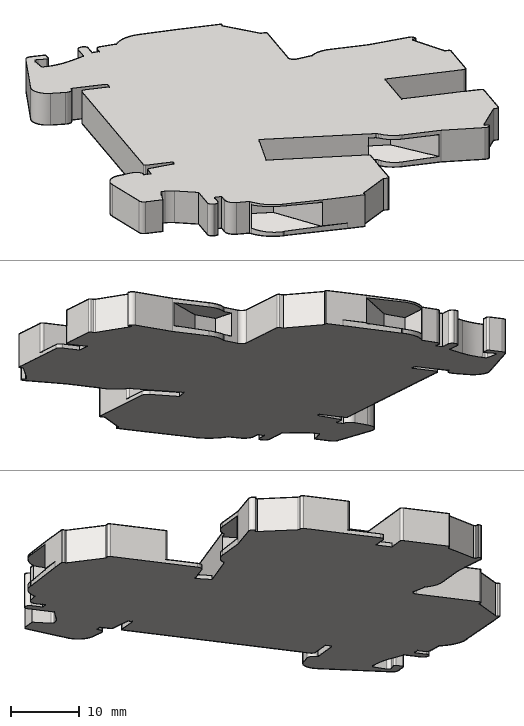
import cadquery as cq
import math


THICKNESS = 5.0
HALF_WIDTH = 34.5
LOWER_TOP = 32.6
UPPER_TOP = 56.0
UPPER_CENTRE_X = -3.1
TILT = math.radians(10)
TOP_EDGE_RADIUS = 0.3

SHOULDER_TOP_X = 29.4
LIP_STEP = 0.95
WALL_TOP = 27.26
NIB_WIDTH = 0.4
NIB_GAP = 0.25
WALL_BEND_Y = 20.7
WALL_FOOT_X = 34.28
BELLY_CORNER_Y = 12.15
BELLY_RADIUS = 5.2
WALL_FOOT_Y = 14.9
NECK_X = 31.85
NECK_TOP = 10.4

UPPER_EDGE = 11.72
UPPER_LIP_STEP = 0.85
UPPER_SLOPE_END = (17.0, 52.0)
UPPER_NIB_FOOT_X = 17.4
UPPER_NIB_INNER_X = 17.5
UPPER_NIB_X = 18.4
UPPER_NIB_RADIUS = 0.75
UPPER_NIB_TOP = 52.6
UPPER_WALL_X = 17.32
UPPER_BEND_Y = 45.3
UPPER_BELLY_CORNER_Y = 37.66
UPPER_BELLY_RADIUS = 4.0
UPPER_BELLY_END = (15.85, 36.2)

LEFT_INNER_CORNER = (-18.1, LOWER_TOP)
LEFT_INNER_RADIUS = 0.85
FLANK_TOP = 35.9

LATCH_TOP = 7.12
LATCH_BOTTOM = 6.0
TAB_BOTTOM = 4.4
RIGHT_LATCH_END = 28.8
LEFT_LATCH_END = -29.8
RIGHT_TAB_X = 31.25
LEFT_TAB_X = -32.3
BASE_RIGHT = 13.97
BASE_LEFT = -16.4

HEEL_X = 17.0
HEEL_BOTTOM = -7.29
HEEL_RADIUS = 2.5
HEEL_TOP = -1.1
HEEL_TOP_RADIUS = 1.1
RIGHT_ANKLE_X = 17.3
LEFT_ANKLE_X = -17.5
RIGHT_LEG_X = 24.35
RIGHT_TOE_X = 27.4
LEFT_TOE_X = -30.95
HOOK_TOP = -0.73

SLOT_WIDTH = 8.0
SLOT_FLOOR_Z = 0.6
SLOT_LIP_RADIUS = 0.4
UPPER_NOTCH_RADIUS = 0.7
SIDE_NOTCH_RADIUS = 1.0
NOTCH_WIDTH = 2.5
NOTCH_ABOVE_SLOT_END = 9.0
UPPER_SLOT_CORNER = (-7.05, 43.5)
SIDE_SLOT_CORNER = (9.55, 18.95)

ENTRY_HEIGHT = 3.75
ENTRY_FLOOR_MOUTH = 0.87
ENTRY_FLOOR_INNER = 1.52
UPPER_ENTRY = dict(
    start=(-20.4, 45.0),
    end=(-18.9, 34.75),
    depth=4.2,
    ceiling_mouth=4.35,
    ceiling_inner=4.35,
)
LOWER_ENTRY = dict(
    start=(-HALF_WIDTH, WALL_BEND_Y),
    end=(-32.3, 10.6),
    depth=4.2,
    ceiling_mouth=4.57,
    ceiling_inner=4.13,
)
BACK_LIP_BEND_Y = 24.55

CLEARANCE = 3.0


def mirrored(points, axis_x=0.0):
    """Mirror (x, y, radius) corners about a vertical line, reversing their order."""
    return [(2 * axis_x - x, y, radius) for x, y, radius in reversed(points)]


def shifted(points, dx):
    """Move (x, y, radius) corners sideways."""
    return [(x + dx, y, radius) for x, y, radius in points]


def along(start, direction, distance):
    """Point at a distance from start in a unit direction."""
    return (start[0] + direction[0] * distance, start[1] + direction[1] * distance)


def unit(start, end):
    """Unit direction from start to end."""
    length = math.dist(start, end)
    return ((end[0] - start[0]) / length, (end[1] - start[1]) / length)


def rounded_face(corners):
    """Closed sketch through (x, y, radius) corners, each rounded by a tangent arc."""
    sketch = None
    for index, (x, y, radius) in enumerate(corners):
        corner = (x, y)
        to_previous = unit(corner, corners[index - 1][:2])
        to_next = unit(corner, corners[(index + 1) % len(corners)][:2])
        cosine = to_previous[0] * to_next[0] + to_previous[1] * to_next[1]
        half_angle = math.acos(cosine) / 2
        setback = radius / math.tan(half_angle)
        start = along(corner, to_previous, setback)
        sketch = cq.Workplane("XY").moveTo(*start) if sketch is None else sketch.lineTo(*start)
        if radius > 0:
            bisector = unit((0, 0), (to_previous[0] + to_next[0], to_previous[1] + to_next[1]))
            middle = along(corner, bisector, radius / math.sin(half_angle) - radius)
            sketch = sketch.threePointArc(middle, along(corner, to_next, setback))
    return sketch.close()


def lower_shoulder():
    """Right shoulder of the lower deck, from the top edge down to the neck."""
    slope_top = LOWER_TOP - LIP_STEP
    slope_end = HALF_WIDTH - NIB_WIDTH - NIB_GAP
    return [
        (SHOULDER_TOP_X, LOWER_TOP, TOP_EDGE_RADIUS),
        (SHOULDER_TOP_X, slope_top, 0),
        (slope_end, slope_top - (slope_end - SHOULDER_TOP_X), 0),
        (HALF_WIDTH - NIB_WIDTH, WALL_TOP, 0),
        (HALF_WIDTH, WALL_TOP, 0),
        (HALF_WIDTH, WALL_BEND_Y, 0),
        (WALL_FOOT_X, BELLY_CORNER_Y, BELLY_RADIUS),
        (NECK_X, NECK_TOP, 0),
    ]


def upper_shoulder():
    """Right shoulder of the upper deck, as offsets from its centre line."""
    return [
        (UPPER_EDGE, UPPER_TOP, TOP_EDGE_RADIUS),
        (UPPER_EDGE, UPPER_TOP - UPPER_LIP_STEP, TOP_EDGE_RADIUS),
        (*UPPER_SLOPE_END, 0),
        (UPPER_NIB_FOOT_X, UPPER_SLOPE_END[1], 0),
        (UPPER_NIB_INNER_X, UPPER_NIB_TOP, 0),
        (UPPER_NIB_X, UPPER_NIB_TOP, UPPER_NIB_RADIUS),
        (UPPER_WALL_X, UPPER_BEND_Y, 0),
        (UPPER_WALL_X, UPPER_BELLY_CORNER_Y, UPPER_BELLY_RADIUS),
        (*UPPER_BELLY_END, 0),
    ]


def right_foot():
    """Foot on the right, from the latch notch round to the base, as (x, y, radius) corners."""
    return [
        (31.6, LATCH_TOP, 1.5),
        (RIGHT_LATCH_END, LATCH_TOP, 0),
        (RIGHT_LATCH_END, LATCH_BOTTOM, 0),
        (RIGHT_TAB_X, LATCH_BOTTOM, 0.7),
        (RIGHT_TAB_X, TAB_BOTTOM, 0.75),
        (26.3, TAB_BOTTOM, 0),
        (RIGHT_LEG_X, 0.6, 3),
        (RIGHT_LEG_X, -0.8, 0.4),
        (RIGHT_TOE_X, -1.4, 0),
        (RIGHT_TOE_X, -4.7, 0.8),
        (HEEL_X, HEEL_BOTTOM, HEEL_RADIUS),
        (15.9, HEEL_TOP, HEEL_TOP_RADIUS),
        (RIGHT_ANKLE_X, HEEL_TOP, 0),
        (RIGHT_ANKLE_X, 0, 0),
        (15.4, 0, 0.4),
        (14.7, TAB_BOTTOM, 0.25),
        (BASE_RIGHT, TAB_BOTTOM, 0),
        (BASE_RIGHT, 0, 0.25),
    ]


def left_foot():
    """Hooked foot on the left, from the base round to the latch notch, as (x, y, radius) corners."""
    return [
        (BASE_LEFT, 0, 0.6),
        (BASE_LEFT, TAB_BOTTOM, 0),
        (LEFT_ANKLE_X, TAB_BOTTOM, 0.35),
        (LEFT_ANKLE_X, HEEL_TOP, 0),
        (-16.1, HEEL_TOP, HEEL_TOP_RADIUS),
        (-HEEL_X, HEEL_BOTTOM, HEEL_RADIUS),
        (LEFT_TOE_X, -3.8, 0.9),
        (LEFT_TOE_X, HOOK_TOP, 0.3),
        (-29.3, HOOK_TOP, 0.3),
        (-29.7, -3.0, 0.5),
        (-26.65, -2.7, 0.3),
        (-26.7, -0.1, 9),
        (-28.8, TAB_BOTTOM, 0),
        (LEFT_TAB_X, TAB_BOTTOM, 0.9),
        (LEFT_TAB_X, LATCH_BOTTOM, 0.6),
        (LEFT_LATCH_END, LATCH_BOTTOM, 0),
        (LEFT_LATCH_END, LATCH_TOP, 0),
        (-31.5, LATCH_TOP, 0.8),
    ]


def slot_point(corner, tilt, across, upward):
    """Point in a slot's own frame: across its width, upward along its length."""
    return (
        corner[0] + across * math.cos(tilt) + upward * math.sin(tilt),
        corner[1] - across * math.sin(tilt) + upward * math.cos(tilt),
    )


def on_slot_side(corner, tilt, across, height):
    """Point of a slot's side line at a given Y."""
    start = slot_point(corner, tilt, across, 0)
    return (start[0] + (height - start[1]) * math.tan(tilt), height)


def notch(corner, tilt, left_top, deck_top, left_radius, right_radius):
    """Outline corners, right to left, of the fully open notch in the mouth of a slot."""
    right_mouth = on_slot_side(corner, tilt, NOTCH_WIDTH, deck_top)
    return [
        (*right_mouth, right_radius),
        (*slot_point(corner, tilt, NOTCH_WIDTH, NOTCH_ABOVE_SLOT_END), 0),
        (*slot_point(corner, tilt, 0, NOTCH_ABOVE_SLOT_END), 0),
        (*left_top, left_radius),
    ]


def housing():
    """Full-thickness body, its outline taken clockwise from the right end of the upper top edge."""
    upper_right = shifted(upper_shoulder(), UPPER_CENTRE_X)
    upper_left = mirrored(upper_right, UPPER_CENTRE_X)
    upper_slot_left = on_slot_side(UPPER_SLOT_CORNER, 0, 0, UPPER_TOP)
    side_slot_left = on_slot_side(SIDE_SLOT_CORNER, TILT, 0, FLANK_TOP)
    upper_notch = notch(
        UPPER_SLOT_CORNER, 0, upper_slot_left, UPPER_TOP, SLOT_LIP_RADIUS, UPPER_NOTCH_RADIUS
    )
    side_notch = notch(SIDE_SLOT_CORNER, TILT, side_slot_left, LOWER_TOP, 0, SIDE_NOTCH_RADIUS)
    corners = (
        upper_right
        + side_notch[::-1]
        + lower_shoulder()
        + right_foot()
        + left_foot()
        + mirrored(lower_shoulder())
        + [(*LEFT_INNER_CORNER, LEFT_INNER_RADIUS)]
        + upper_left
        + upper_notch[::-1]
    )
    return rounded_face(corners).extrude(THICKNESS)


def slot_pocket(corner, tilt, deck_top):
    """Screwdriver slot, closed by a thin floor and open at the top of its deck."""
    right_mouth = on_slot_side(corner, tilt, SLOT_WIDTH, deck_top)
    above = deck_top + CLEARANCE
    corners = [
        (*corner, 0),
        (*slot_point(corner, tilt, SLOT_WIDTH, 0), 0),
        (*right_mouth, SLOT_LIP_RADIUS),
        (right_mouth[0] + CLEARANCE, deck_top, 0),
        (right_mouth[0] + CLEARANCE, above, 0),
        (*on_slot_side(corner, tilt, 0, above), 0),
    ]
    pocket = rounded_face(corners).extrude(THICKNESS)
    return pocket.translate((0, 0, SLOT_FLOOR_Z))


def wire_entry(start, end, depth, ceiling_mouth, ceiling_inner):
    """Tapered wire funnel in a left wall; start and end are its upper and lower mouth edges."""
    inward = (math.cos(TILT), math.sin(TILT))
    upward = (-math.sin(TILT), math.cos(TILT))
    inner_low = along(end, inward, depth)
    inner_high = along(inner_low, upward, ENTRY_HEIGHT)
    plan = cq.Workplane("XY").polyline([
        start,
        inner_high,
        inner_low,
        along(end, inward, -CLEARANCE),
        (start[0] - CLEARANCE, start[1]),
    ]).close().extrude(THICKNESS)

    reach = 2 * depth
    floor_slope = (ENTRY_FLOOR_INNER - ENTRY_FLOOR_MOUTH) / depth
    ceiling_slope = (ceiling_inner - ceiling_mouth) / depth
    section = cq.Workplane("XZ").polyline([
        (-reach, ENTRY_FLOOR_MOUTH - floor_slope * reach),
        (reach, ENTRY_FLOOR_MOUTH + floor_slope * reach),
        (reach, ceiling_mouth + ceiling_slope * reach),
        (-reach, ceiling_mouth - ceiling_slope * reach),
    ]).close().extrude(HALF_WIDTH, both=True)
    section = section.rotate((0, 0, 0), (0, 0, 1), math.degrees(TILT)).translate((*end, 0))
    return plan.intersect(section)


def back_lip_relief():
    """Sliver off the back lip of the left lower wall, where the lean starts higher up."""
    wall = [
        (-HALF_WIDTH, BACK_LIP_BEND_Y),
        (-WALL_FOOT_X, WALL_FOOT_Y),
        (-HALF_WIDTH - CLEARANCE, WALL_FOOT_Y),
        (-HALF_WIDTH - CLEARANCE, BACK_LIP_BEND_Y),
    ]
    return cq.Workplane("XY").polyline(wall).close().extrude(ENTRY_FLOOR_MOUTH)


def cut_both_sides(body, cutter, axis_x):
    """Cut a left-hand feature and its mirror image about a vertical line."""
    return body.cut(cutter).cut(cutter.mirror("YZ", (axis_x, 0, 0)))


result = housing()
result = result.cut(slot_pocket(UPPER_SLOT_CORNER, 0, UPPER_TOP))
result = result.cut(slot_pocket(SIDE_SLOT_CORNER, TILT, LOWER_TOP))
result = cut_both_sides(result, wire_entry(**UPPER_ENTRY), UPPER_CENTRE_X)
result = cut_both_sides(result, wire_entry(**LOWER_ENTRY), 0)
result = cut_both_sides(result, back_lip_relief(), 0)